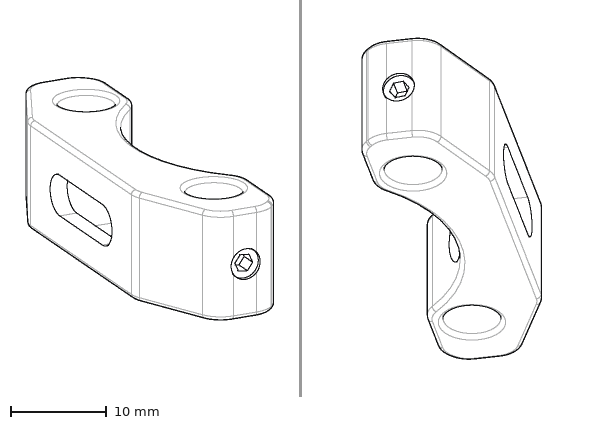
import cadquery as cq
import math

length = 45.0
width = 12.5
height = 12.0
half_length = length / 2
half_height = height / 2

front_half_width = 12.5
slope_angle = 25.0
back_corner_chamfer = 2.0
corner_radius = 3.0
saddle_radius = 16.4
saddle_floor = 6.5
edge_fillet = 0.5

bore_spacing = 30.0
bore_y = 8.0
bore_radius = 3.0

slot_straight = 10.05
slot_height = 4.5
lip_thickness = 2.0
wide_slot_height = 8.0

screw_diameter = 3.38
screw_recess = 0.45
socket_sides = 6
socket_across_flats = 1.8
socket_depth = 2.0
socket_tilt = -6.0

screw_face_x = half_length - screw_recess
screw_tip_x = bore_spacing / 2 + bore_radius
screw_length = screw_face_x - screw_tip_x
socket_across_corners = socket_across_flats / math.cos(math.pi / socket_sides)


def make_blank():
    """Plan outline extruded to full height, with the saddle cut and all outer edges rounded."""
    slope_end_y = (half_length - front_half_width) * math.tan(math.radians(slope_angle))
    saddle_centre_y = saddle_floor + saddle_radius
    right_side = [
        (front_half_width, 0),
        (half_length, slope_end_y),
        (half_length, width - back_corner_chamfer),
        (half_length - back_corner_chamfer, width),
    ]
    left_side = [(-x, y) for x, y in reversed(right_side)]
    plate = cq.Workplane("XY").polyline(right_side + left_side).close().extrude(half_height, both=True)
    saddle = (
        cq.Workplane("XY")
        .center(0, saddle_centre_y)
        .circle(saddle_radius)
        .extrude(half_height, both=True)
    )
    blank = plate.cut(saddle).edges("|Z").fillet(corner_radius)
    return blank.faces("<Z or >Z").edges().fillet(edge_fillet)


def cut_bores(body):
    """Vertical through bores with rounded rims, each cut by a revolved profile."""
    rim_radius = bore_radius + edge_fillet
    diagonal = edge_fillet * math.sqrt(0.5)
    profile = (
        cq.Workplane("XZ")
        .lineTo(rim_radius, 0)
        .threePointArc(
            (rim_radius - diagonal, edge_fillet - diagonal),
            (bore_radius, edge_fillet),
        )
        .lineTo(bore_radius, height - edge_fillet)
        .threePointArc(
            (rim_radius - diagonal, height - edge_fillet + diagonal),
            (rim_radius, height),
        )
        .lineTo(0, height)
        .close()
    )
    cutter = profile.revolve(360, (0, 0, 0), (0, 1, 0))
    for side in (-1, 1):
        body = body.cut(cutter.translate((side * bore_spacing / 2, bore_y, -half_height)))
    return body


def slot_prism(slot_width, start_y, end_y):
    """Round-ended slot lying along X, running from start_y to end_y."""
    return (
        cq.Workplane("XZ", origin=(0, end_y, 0))
        .slot2D(slot_straight + slot_width, slot_width)
        .extrude(end_y - start_y)
    )


def cut_slot(body):
    """Narrow slot through the front lip, opening into a wider slot that runs out into the saddle."""
    body = body.cut(slot_prism(slot_height, 0, lip_thickness))
    return body.cut(slot_prism(wide_slot_height, lip_thickness, width))


def cut_screw_holes(body):
    """Holes along X from each end face into the nearest bore."""
    bore_x = bore_spacing / 2
    for side in (-1, 1):
        hole = (
            cq.Workplane("YZ", origin=(side * bore_x, bore_y, 0))
            .circle(screw_diameter / 2)
            .extrude(side * (half_length - bore_x))
        )
        body = body.cut(hole)
    return body


def make_bracket():
    """Bracket body with its bores, stepped slot and screw holes."""
    return cut_screw_holes(cut_slot(cut_bores(make_blank())))


def make_set_screw(side):
    """Headless screw with a hexagon socket; side is -1 or +1 for the end it sits in."""
    screw = (
        cq.Workplane("YZ", origin=(side * screw_tip_x, bore_y, 0))
        .circle(screw_diameter / 2)
        .extrude(side * screw_length)
    )
    socket = (
        cq.Workplane("YZ", origin=(side * screw_face_x, bore_y, 0))
        .polygon(socket_sides, socket_across_corners)
        .extrude(-side * socket_depth)
        .rotate((0, bore_y, 0), (1, bore_y, 0), socket_tilt)
    )
    return screw.cut(socket)


bracket = make_bracket()
set_screws = [make_set_screw(side) for side in (-1, 1)]

result = cq.Compound.makeCompound([bracket.val(), *[screw.val() for screw in set_screws]])